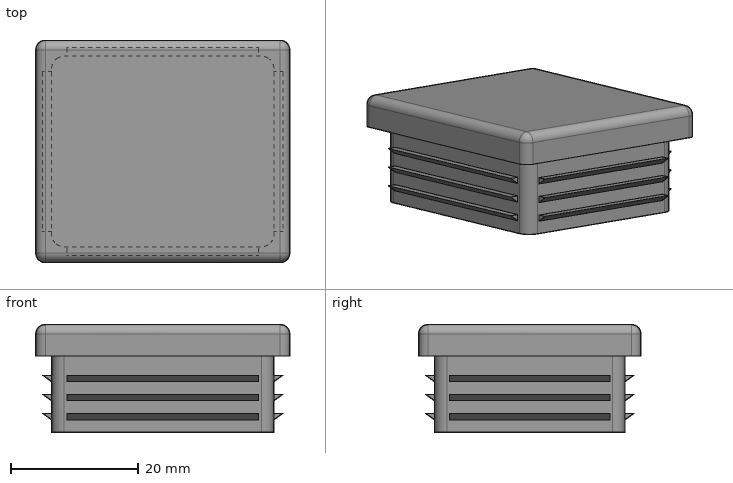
import cadquery as cq

cap_length = 40
cap_width = 35.0
cap_height = 5.0
cap_radius = 1.5

plug_inset = cap_height / 2
plug_length = cap_length - 2 * plug_inset
plug_width = cap_width - 2 * plug_inset
plug_height = 12
plug_corner_radius = 2

fin_reach = 1.4
fin_height = 1.0
fin_end_margin = 2.4
fin_count = 3
fin_pitch = 3.0
first_fin_drop = 3.0


def make_cap():
    """Block with rounded vertical and top edges, its underside at Z = 0."""
    block = cq.Workplane("XY").box(cap_length, cap_width, cap_height, centered=(True, True, False))
    return block.edges("|Z or >Z").fillet(cap_radius)


def make_plug():
    """Block with rounded vertical edges hanging below the cap."""
    plug = cq.Workplane("XY").rect(plug_length, plug_width).extrude(-plug_height)
    return plug.edges("|Z").fillet(plug_corner_radius)


def make_fin(face_distance, fin_length, top):
    """Triangular fin along Y on the +X side, face_distance from the centre."""
    return (
        cq.Workplane("XZ")
        .moveTo(face_distance, top)
        .lineTo(face_distance + fin_reach, top)
        .lineTo(face_distance, top - fin_height)
        .close()
        .extrude(fin_length / 2, both=True)
    )


result = make_cap().union(make_plug())
for level in range(fin_count):
    top = -first_fin_drop - level * fin_pitch
    end_fin = make_fin(plug_length / 2, plug_width - 2 * fin_end_margin, top)
    side_fin = make_fin(plug_width / 2, plug_length - 2 * fin_end_margin, top)
    for angle in (0, 180):
        result = result.union(end_fin.rotate((0, 0, 0), (0, 0, 1), angle))
        result = result.union(side_fin.rotate((0, 0, 0), (0, 0, 1), angle + 90))